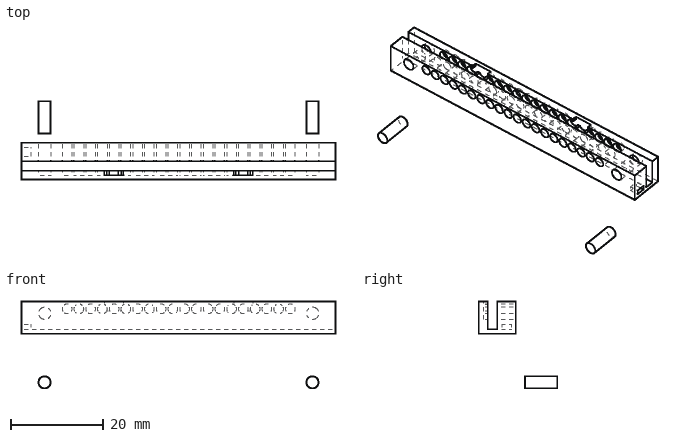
import cadquery as cq

LENGTH = 68.0
HEIGHT = 7.0
FRONT_WALL = 2.0
SLOT_WIDTH = 2.05
BACK_WALL = 4.0
FLOOR = 1.0
DEPTH = FRONT_WALL + SLOT_WIDTH + BACK_WALL

RECESS_DEPTH = 1.0
RECESS_END_Y = FRONT_WALL - RECESS_DEPTH

HOLE_COUNT = 20
ROW_LENGTH = 48.3
HOLE_PITCH = ROW_LENGTH / (HOLE_COUNT - 1)
HOLE_DIAMETER = 2.1
HOLE_Z = 5.45

NOTCH_HOLE_INDEX = 4
NOTCH_OFFSET = ROW_LENGTH / 2 - NOTCH_HOLE_INDEX * HOLE_PITCH
NOTCH_WIDTH = 4.15
NOTCH_HEIGHT = 2.0

PIN_DIAMETER = 2.65
PIN_LENGTH = 7.0
PIN_OFFSET = 29.0
PIN_HOLE_Z = 4.5
PIN_GAP_Y = 2.0
PIN_GAP_Z = 9.2
PIN_Z = -PIN_GAP_Z - PIN_DIAMETER / 2

END_POCKET_WIDTH = 2.0
END_POCKET_HEIGHT = 1.0
END_POCKET_DEPTH = 2.05
END_POCKET_BACK_MARGIN = 1.0

SIDES = (-1, 1)


def block(corner, size):
    """Box given by its lowest corner and its sizes along X, Y and Z."""
    return cq.Workplane("XY").box(*size, centered=False).translate(corner)


def rod(x, z, diameter, y_start, length):
    """Cylinder running along +Y from y_start."""
    plane = cq.Plane(origin=(x, y_start, z), xDir=(0, 0, 1), normal=(0, 1, 0))
    return cq.Workplane(plane).circle(diameter / 2).extrude(length)


def drill_from_back(body, x, z, diameter):
    """Hole from the back face to the bottom of the front wall's recesses."""
    return body.cut(rod(x, z, diameter, RECESS_END_Y, DEPTH - RECESS_END_Y))


def cut_slot(body):
    corner = (-LENGTH / 2, FRONT_WALL, FLOOR)
    return body.cut(block(corner, (LENGTH, SLOT_WIDTH, HEIGHT - FLOOR)))


def cut_hole_row(body):
    for index in range(HOLE_COUNT):
        body = drill_from_back(body, index * HOLE_PITCH - ROW_LENGTH / 2, HOLE_Z, HOLE_DIAMETER)
    return body


def cut_notches(body):
    for side in SIDES:
        corner = (side * NOTCH_OFFSET - NOTCH_WIDTH / 2, RECESS_END_Y, HEIGHT - NOTCH_HEIGHT)
        body = body.cut(block(corner, (NOTCH_WIDTH, RECESS_DEPTH, NOTCH_HEIGHT)))
    return body


def cut_pin_holes(body):
    for side in SIDES:
        body = drill_from_back(body, side * PIN_OFFSET, PIN_HOLE_Z, PIN_DIAMETER)
    return body


def cut_end_pocket(body):
    corner = (-LENGTH / 2, DEPTH - END_POCKET_BACK_MARGIN - END_POCKET_WIDTH, FLOOR)
    return body.cut(block(corner, (END_POCKET_DEPTH, END_POCKET_WIDTH, END_POCKET_HEIGHT)))


def make_housing():
    body = block((-LENGTH / 2, 0, 0), (LENGTH, DEPTH, HEIGHT))
    body = cut_slot(body)
    body = cut_hole_row(body)
    body = cut_notches(body)
    body = cut_pin_holes(body)
    return cut_end_pocket(body)


def make_pin(side):
    return rod(side * PIN_OFFSET, PIN_Z, PIN_DIAMETER, DEPTH + PIN_GAP_Y, PIN_LENGTH)


housing = make_housing()
pins = [make_pin(side) for side in SIDES]
result = cq.Compound.makeCompound([housing.val(), *[pin.val() for pin in pins]])